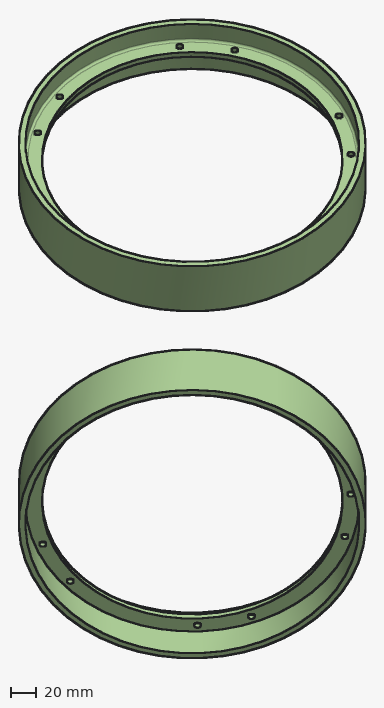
import cadquery as cq
import math

outer_radius = 135.0
height = 50.0
wall_thickness = 5.0
wall_inner_radius = outer_radius - wall_thickness

bore_radius = 117.0
flange_depth = 18.0
flange_thickness = 5.0
flange_top = height - flange_depth
flange_bottom = flange_top - flange_thickness
corner_fillet = 2.0

hole_diameter = 5.0
hole_circle_radius = 123.7
pair_count = 5
first_hole_angle = 18.0
angle_within_pair = 20.0


def make_ring():
    """Revolve the wall and flange section around the Z axis."""
    arc_offset = corner_fillet * (1 - math.sqrt(0.5))
    section = (
        cq.Workplane("XZ")
        .moveTo(outer_radius, 0)
        .lineTo(outer_radius, height)
        .lineTo(wall_inner_radius, height)
        .lineTo(wall_inner_radius, flange_top + corner_fillet)
        .threePointArc(
            (wall_inner_radius - arc_offset, flange_top + arc_offset),
            (wall_inner_radius - corner_fillet, flange_top),
        )
        .lineTo(bore_radius, flange_top)
        .lineTo(bore_radius, flange_bottom)
        .lineTo(wall_inner_radius, flange_bottom)
        .lineTo(wall_inner_radius, 0)
        .close()
    )
    return section.revolve(360, (0, 0, 0), (0, 1, 0))


def make_flange_holes():
    """Make cutters that pass through the flange at every hole position."""
    cutters = cq.Workplane("XY").workplane(offset=flange_bottom)
    for offset_angle in (0, angle_within_pair):
        cutters = cutters.polarArray(
            hole_circle_radius, first_hole_angle + offset_angle, 360, pair_count
        ).circle(hole_diameter / 2)
    return cutters.extrude(flange_thickness)


result = make_ring().cut(make_flange_holes())